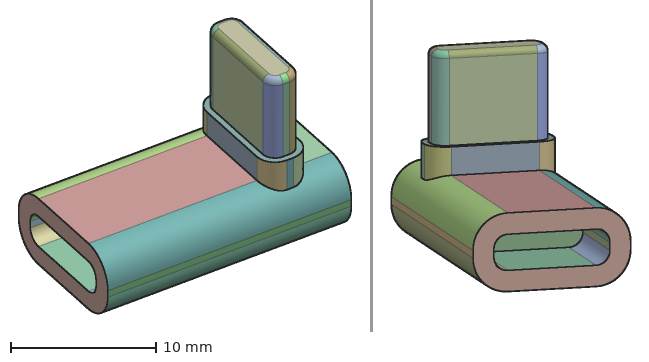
import cadquery as cq

CORE_WIDTH = 6.35
CORE_THICKNESS = 0.55
BODY_RADIUS = 2.5
COLLAR_RADIUS = 1.5
PLUG_RADIUS = 1.0

BODY_LENGTH = 20.0
TOTAL_HEIGHT = 14.18
COLLAR_HEIGHT = 2.0
PLUG_TIP_FILLET = 0.5
PLUG_INSET = 4.4

BODY_HEIGHT = CORE_THICKNESS + 2 * BODY_RADIUS
BODY_TOP = BODY_HEIGHT / 2
PLUG_HEIGHT = TOTAL_HEIGHT - BODY_HEIGHT - COLLAR_HEIGHT
PLUG_Y = BODY_LENGTH / 2 - PLUG_INSET
SOCKET_DEPTH = PLUG_HEIGHT


def rounded_bar(plane, radius, length):
    """Extrude the shared core, grown by radius, along the plane's normal."""
    return (
        cq.Workplane(plane)
        .rect(CORE_WIDTH + 2 * radius, CORE_THICKNESS + 2 * radius)
        .extrude(length)
        .edges("|" + ("Y" if plane.zDir.z == 0 else "Z"))
        .fillet(radius)
    )


front_plane = cq.Plane(origin=(0, -BODY_LENGTH / 2, 0), xDir=(-1, 0, 0), normal=(0, 1, 0))
body = rounded_bar(front_plane, BODY_RADIUS, BODY_LENGTH)
socket = rounded_bar(front_plane, PLUG_RADIUS, SOCKET_DEPTH)

collar_plane = cq.Plane(origin=(0, PLUG_Y, 0))
collar = rounded_bar(collar_plane, COLLAR_RADIUS, BODY_TOP + COLLAR_HEIGHT)

plug_plane = cq.Plane(origin=(0, PLUG_Y, BODY_TOP + COLLAR_HEIGHT))
plug = rounded_bar(plug_plane, PLUG_RADIUS, PLUG_HEIGHT)
plug = plug.faces(">Z").edges().fillet(PLUG_TIP_FILLET)

result = body.union(collar).union(plug).cut(socket)